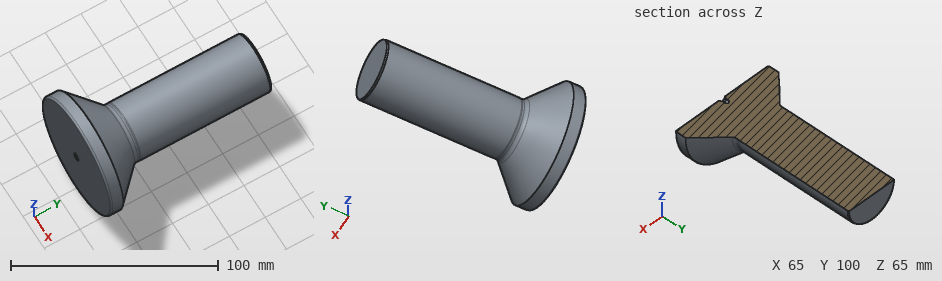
import cadquery as cq
import math

length = 100.0
head_radius = 32.5
shank_radius = 15.9

rim_width = 7.0
head_edge_radius = 1.0
shank_end_taper_length = 0.9
shank_end_taper_depth = 0.3

neck_radius = 15.8
neck_fillet_radius = 3.2
neck_land = 1.0
relief_length = 0.6
cone_angle = math.radians(45)

center_mouth_radius = 2.1
center_pilot_radius = 1.0
center_pilot_length = 2.0
countersink_half_angle = math.radians(30)
drill_tip_half_angle = math.radians(60)


def turn(profile):
    """Revolve a closed (radius, Y) profile about the Y axis."""
    return profile.close().revolve(360, (0, 0, 0), (0, 1, 0))


def make_body():
    fillet_end_radius = neck_radius + neck_fillet_radius * (1 - math.cos(cone_angle))
    fillet_end_y = rim_width + (head_radius - fillet_end_radius) / math.tan(cone_angle)
    neck_y = fillet_end_y + neck_fillet_radius * math.sin(cone_angle)
    half_angle = cone_angle / 2
    fillet_mid = (
        neck_radius + neck_fillet_radius * (1 - math.cos(half_angle)),
        neck_y - neck_fillet_radius * math.sin(half_angle),
    )
    relief_y = neck_y + neck_land
    head_mid_offset = head_edge_radius * (1 - math.sqrt(0.5))

    return turn(
        cq.Workplane("XY")
        .lineTo(head_radius - head_edge_radius, 0)
        .threePointArc(
            (head_radius - head_mid_offset, head_mid_offset),
            (head_radius, head_edge_radius),
        )
        .lineTo(head_radius, rim_width)
        .lineTo(fillet_end_radius, fillet_end_y)
        .threePointArc(fillet_mid, (neck_radius, neck_y))
        .lineTo(neck_radius, relief_y)
        .lineTo(shank_radius, relief_y + relief_length)
        .lineTo(shank_radius, length - shank_end_taper_length)
        .lineTo(shank_radius - shank_end_taper_depth, length)
        .lineTo(0, length)
    )


def make_center_drilling():
    countersink_depth = (center_mouth_radius - center_pilot_radius) / math.tan(countersink_half_angle)
    pilot_end = countersink_depth + center_pilot_length
    tip_depth = pilot_end + center_pilot_radius / math.tan(drill_tip_half_angle)

    return turn(
        cq.Workplane("XY")
        .lineTo(center_mouth_radius, 0)
        .lineTo(center_pilot_radius, countersink_depth)
        .lineTo(center_pilot_radius, pilot_end)
        .lineTo(0, tip_depth)
    )


result = make_body().cut(make_center_drilling())